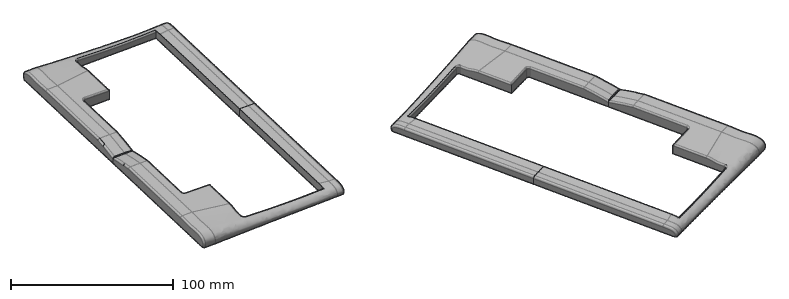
import cadquery as cq

HALF_LENGTH = 104.6
DEPTH = 103.5
FRONT_HEIGHT = 8.0
BACK_HEIGHT = 5.9

FRONT_STRIP = 8.4
BACK_STRIP = 5.5
BACK_STRIP_Y = DEPTH - BACK_STRIP
WAIST_Y = 64.9

WAIST_HALF_LENGTH = 103.4
BACK_HALF_LENGTH = 103.0
FLAT_FRONT = 77.6
FLAT_BACK = 92.7

FOOT_INSET = 0.6
BULGE_LEVEL = 0.3
SHOULDER_INSET = 1.5
SHOULDER_LEVEL = 0.78
CROWN_INSET = 4.5
FRONT_CROWN_DROP = 0.52
FRONT_DIP = 0.5
WAIST_CROWN_DROP = 1.7
WAIST_DIP = 1.3
BACK_CROWN_DROP = 0.2
BACK_DIP = 0.0

WINDOW_HALF_LENGTH = 96.2
WINDOW_FRONT_Y = 33.7
WINDOW_BACK_Y = 91.6
NOTCH_HALF_LENGTH = 57.7
NOTCH_FRONT_Y = 14.5
WINDOW_CORNER_RADIUS = 1.57

SADDLE_HALF_LENGTH = 17.5
SADDLE_DROP = 3.3
SADDLE_RISE = 0.2
JOINT_BEVEL = 0.5

FRONT_EDGE_RADIUS = 1.3
BACK_EDGE_RADIUS = 1.5
WINDOW_EDGE_RADIUS = 1.0

NOTCH_CORNER = (-NOTCH_HALF_LENGTH, NOTCH_FRONT_Y)
STEP_CORNER = (-NOTCH_HALF_LENGTH, WINDOW_FRONT_Y)
WINDOW_CORNER = (-WINDOW_HALF_LENGTH, WINDOW_FRONT_Y)
WINDOW_OUTLINE = [
    (0, NOTCH_FRONT_Y),
    NOTCH_CORNER,
    STEP_CORNER,
    WINDOW_CORNER,
    (-WINDOW_HALF_LENGTH, WINDOW_BACK_Y),
    (0, WINDOW_BACK_Y),
]

EDGE_MARGIN = 0.6


def box_around(low, high):
    """Selector for edges centred within the margin of the box between two corners."""
    return cq.selectors.BoxSelector(
        tuple(value - EDGE_MARGIN for value in low),
        tuple(value + EDGE_MARGIN for value in high),
    )


def between(y, front_value, back_value):
    """Value at y on a straight slope from the front strip to the back strip."""
    fraction = (y - FRONT_STRIP) / (BACK_STRIP_Y - FRONT_STRIP)
    return front_value + fraction * (back_value - front_value)


def section(y, half_length, crown_drop, dip):
    """Cross-section of the left half at y, from the joint out to its rounded end."""
    height = between(y, FRONT_HEIGHT, BACK_HEIGHT)
    flat_x = -between(y, FLAT_FRONT, FLAT_BACK)
    crown_x = CROWN_INSET - half_length
    foot = (FOOT_INSET - half_length, 0)
    rounded_end = [
        ((crown_x + flat_x) / 2, height - dip),
        (crown_x, height - crown_drop),
        (SHOULDER_INSET - half_length, (height - crown_drop) * SHOULDER_LEVEL),
        (-half_length, height * BULGE_LEVEL),
        foot,
    ]
    return (
        cq.Workplane("XZ", origin=(0, y, 0))
        .moveTo(*foot)
        .lineTo(0, 0)
        .lineTo(0, height)
        .lineTo(flat_x, height)
        .spline(rounded_end, tangents=[(-1, 0), (FOOT_INSET, -2)], includeCurrent=True)
        .close()
    )


def slab():
    """Left half without its openings: a lofted middle between two level strips."""
    front = section(FRONT_STRIP, HALF_LENGTH, FRONT_CROWN_DROP, FRONT_DIP)
    waist = section(WAIST_Y, WAIST_HALF_LENGTH, WAIST_CROWN_DROP, WAIST_DIP)
    back = section(BACK_STRIP_Y, BACK_HALF_LENGTH, BACK_CROWN_DROP, BACK_DIP)
    middle = cq.Workplane(cq.Solid.makeLoft([front.val(), waist.val(), back.val()]))
    return middle.union(front.extrude(FRONT_STRIP)).union(back.extrude(-BACK_STRIP))


def saddle_profile(y):
    """Cross-section at y of the space above the saddle, which follows the slope of the top."""
    height = between(y, FRONT_HEIGHT, BACK_HEIGHT)
    middle_z = height - SADDLE_DROP / 2 + SADDLE_RISE
    return (
        cq.Workplane("XZ", origin=(0, y, 0))
        .moveTo(-SADDLE_HALF_LENGTH, height)
        .threePointArc((-SADDLE_HALF_LENGTH / 2, middle_z), (0, height - SADDLE_DROP))
        .lineTo(0, height + SADDLE_DROP)
        .lineTo(-SADDLE_HALF_LENGTH, height + SADDLE_DROP)
        .close()
    )


def saddle_cutter():
    """Space above the saddle, level over the front strip and sloping from there to the window."""
    front = saddle_profile(FRONT_STRIP)
    behind = saddle_profile(WINDOW_FRONT_Y)
    sloped = cq.Workplane(cq.Solid.makeLoft([front.val(), behind.val()], True))
    return sloped.union(front.extrude(FRONT_STRIP))


def joint_bevel_cutter():
    """Wedge that bevels the joint edge along the bottom of the saddle."""
    bottom_z = FRONT_HEIGHT - SADDLE_DROP - JOINT_BEVEL
    return (
        cq.Workplane("XZ")
        .moveTo(0, bottom_z)
        .lineTo(0, bottom_z + SADDLE_DROP)
        .lineTo(-SADDLE_DROP, bottom_z + SADDLE_DROP)
        .close()
        .extrude(-WINDOW_FRONT_Y)
    )


def window_cutter():
    """Left half of the stepped window, with its two hollow corners rounded."""
    cutter = cq.Workplane("XY").polyline(WINDOW_OUTLINE).close().extrude(2 * FRONT_HEIGHT)
    for x, y in (NOTCH_CORNER, WINDOW_CORNER):
        corner = box_around((x, y, 0), (x, y, 2 * FRONT_HEIGHT))
        cutter = cutter.edges("|Z").edges(corner).fillet(WINDOW_CORNER_RADIUS)
    return cutter


def upper_edges(body, stretches):
    """Edges of the top face along straight stretches of outline, each parallel to X or Y."""
    found = []
    for start, end in stretches:
        low = (min(start[0], end[0]), min(start[1], end[1]), BACK_HEIGHT / 2)
        high = (max(start[0], end[0]), max(start[1], end[1]), FRONT_HEIGHT)
        found += body.edges("not |Z").edges(box_around(low, high)).vals()
    unique = []
    for edge in found:
        if not any(edge.isSame(other) for other in unique):
            unique.append(edge)
    return body.newObject(unique)


def frame_half():
    """One half of the frame, on the -X side of the joint."""
    body = slab().cut(window_cutter()).cut(saddle_cutter())

    rim = list(zip(WINDOW_OUTLINE[:4], WINDOW_OUTLINE[1:5]))
    body = upper_edges(body, rim).fillet(WINDOW_EDGE_RADIUS)

    front_edge = [((-HALF_LENGTH, 0), (0, 0))]
    body = upper_edges(body, front_edge).fillet(FRONT_EDGE_RADIUS)

    back_edge = [((-HALF_LENGTH, DEPTH), (0, DEPTH))]
    body = upper_edges(body, back_edge).fillet(BACK_EDGE_RADIUS)
    return body.cut(joint_bevel_cutter())


left_half = frame_half()
right_half = left_half.mirror("YZ")
result = cq.Compound.makeCompound([left_half.val(), right_half.val()])